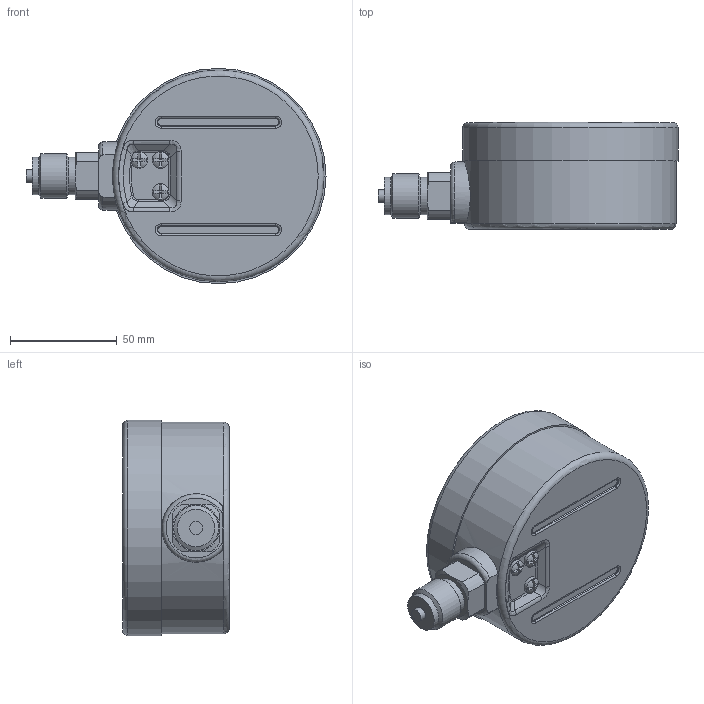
import cadquery as cq
import math


CASE_RADIUS = 99 / 2
BEZEL_RADIUS = 100.8 / 2
TOTAL_DEPTH = 49.99
BEZEL_START = 32.0
BACK_ROUND = 2.8
BEZEL_ROUND = 2.5
BACK_FACE_RADIUS = CASE_RADIUS - BACK_ROUND

OVERALL_LENGTH = 140.4
AXIS_Y = 15.6
BOSS_RADIUS = 16.0
BOSS_END = -56.0
BOSS_ROUND = 2.0
BOSS_FLAT_Y = 3.0
SQUARE_WIDTH = 22.0
SQUARE_FLAT = 14.0
SQUARE_LENGTH = 11.0
SQUARE_BEVEL = 0.7
NECK_LENGTH = 3.1
NECK_RADIUS = 17.5 / 2
THREAD_RADIUS = 20.96 / 2
THREAD_CHAMFER = 1.0
PIN_RADIUS = 6 / 2
PIN_LENGTH = 3.0
COLLAR_LENGTH = 3.0
PIN_END = BEZEL_RADIUS - OVERALL_LENGTH

GROOVE_Z = 25.2
GROOVE_LENGTH = 57.9
GROOVE_WIDTH = 4.5
GROOVE_DEPTH = 1.0
GROOVE_TAPER = 33
GROOVE_RIM_ROUND = 1.15

POCKET_MOUTH_RIGHT = -17.4
POCKET_MOUTH_HALF_HEIGHT = 16.8
POCKET_MOUTH_EDGE_GAP = 0.1
POCKET_MOUTH_RADIUS = BACK_FACE_RADIUS - POCKET_MOUTH_EDGE_GAP
POCKET_DEPTH = 3.5
POCKET_SLOPE = 40
POCKET_CORNER_ROUND = 5.0
POCKET_RIM_ROUND = 3.3
POCKET_FLOOR_ROUND = 1.3

SCREW_PLACES = [(-37.0, 7.5), (-27.0, 7.5), (-27.0, -7.5)]
SCREW_RADIUS = 7.8 / 2
SCREW_HEIGHT = 3.1
SCREW_SIDE = 1.7
RECESS_LENGTH = 6.6
RECESS_WIDTH = 1.25
RECESS_DEPTH = 2.5
RECESS_END_DEPTH = 1.2

OVERLAP = 1.0
EDGE_TOLERANCE = 0.01


def back_plane(y):
    """Plane at depth y whose local axes are X and Z and whose normal is -Y."""
    return cq.Workplane("XZ", origin=(0, y, 0))


def rod(x_start, x_end, radius):
    """Cylinder on the connector axis from x_start towards +X."""
    plane = cq.Workplane("YZ", origin=(x_start, AXIS_Y, 0))
    return plane.circle(radius).extrude(x_end - x_start)


def make_case():
    case = back_plane(BEZEL_START).circle(CASE_RADIUS).extrude(BEZEL_START)
    case = case.faces("<Y").edges().fillet(BACK_ROUND)
    bezel = back_plane(TOTAL_DEPTH).circle(BEZEL_RADIUS).extrude(TOTAL_DEPTH - BEZEL_START)
    bezel = bezel.faces(">Y").edges().fillet(BEZEL_ROUND)
    return case.union(bezel)


def make_boss():
    """Round boss running into the case, cut flat towards the back."""
    boss = rod(BOSS_END, 0, BOSS_RADIUS).faces("<X").edges().fillet(BOSS_ROUND)
    keep = back_plane(AXIS_Y + BOSS_RADIUS).rect(-2 * BOSS_END, 2 * BOSS_RADIUS)
    return boss.intersect(keep.extrude(AXIS_Y + BOSS_RADIUS - BOSS_FLAT_Y))


def turned(profile):
    """Body turned about the connector axis from (x, radius) profile points."""
    (first_x, _), (last_x, _) = profile[0], profile[-1]
    outline = cq.Workplane("XY", origin=(0, AXIS_Y, 0)).polyline([(first_x, 0), *profile, (last_x, 0)])
    return outline.close().revolve(360, (0, 0, 0), (1, 0, 0))


def make_square():
    """Wrench square with turned corners and a conical bevel at its outer end."""
    start = BOSS_END - SQUARE_LENGTH
    end = BOSS_END + OVERLAP
    square = cq.Workplane("YZ", origin=(start, AXIS_Y, 0)).rect(SQUARE_WIDTH, SQUARE_WIDTH)
    corner_radius = math.hypot(SQUARE_WIDTH, SQUARE_FLAT) / 2
    envelope = turned(
        [
            (start, SQUARE_WIDTH / 2),
            (start + SQUARE_BEVEL, corner_radius),
            (end, corner_radius),
        ]
    )
    return square.extrude(end - start).intersect(envelope)


def make_thread(x_start, x_end):
    """Plain thread barrel, coned down to the neck radius at both ends."""
    return turned(
        [
            (x_start, NECK_RADIUS),
            (x_start + THREAD_CHAMFER, THREAD_RADIUS),
            (x_end - THREAD_CHAMFER, THREAD_RADIUS),
            (x_end, NECK_RADIUS),
        ]
    )


def make_connector():
    square_end = BOSS_END - SQUARE_LENGTH
    thread_start = PIN_END + PIN_LENGTH + COLLAR_LENGTH
    connector = make_boss().union(make_square())
    connector = connector.union(rod(PIN_END + PIN_LENGTH, square_end + OVERLAP, NECK_RADIUS))
    connector = connector.union(make_thread(thread_start, square_end - NECK_LENGTH))
    return connector.union(rod(PIN_END, thread_start, PIN_RADIUS))


def round_rim(body, x_range, z_range, radius):
    """Round the edges of the back face that lie inside the given X and Z ranges."""
    low = (x_range[0], -EDGE_TOLERANCE, z_range[0])
    high = (x_range[1], EDGE_TOLERANCE, z_range[1])
    return body.edges(cq.selectors.BoxSelector(low, high, boundingbox=True)).fillet(radius)


def cut_groove(body, z):
    groove = back_plane(0).center(0, z).slot2D(GROOVE_LENGTH, GROOVE_WIDTH)
    body = body.cut(groove.extrude(-GROOVE_DEPTH, taper=GROOVE_TAPER))
    x_range = (-GROOVE_LENGTH, GROOVE_LENGTH)
    z_range = (z - GROOVE_WIDTH, z + GROOVE_WIDTH)
    return round_rim(body, x_range, z_range, GROOVE_RIM_ROUND)


def make_pocket():
    """Sloped pocket: a tapered block trimmed on its left by a cone around the case axis."""
    slope = math.radians(POCKET_SLOPE)
    taper = 90 - POCKET_SLOPE
    wall_inset = POCKET_RIM_ROUND * math.tan(slope / 2)
    right = POCKET_MOUTH_RIGHT - wall_inset
    width = 2 * (POCKET_MOUTH_HALF_HEIGHT - wall_inset)
    block = back_plane(0).center(right - CASE_RADIUS, 0).rect(2 * CASE_RADIUS, width)
    block = block.extrude(-POCKET_DEPTH, taper=taper)
    cone = back_plane(0).circle(POCKET_MOUTH_RADIUS - wall_inset).extrude(-POCKET_DEPTH, taper=taper)
    pocket = block.intersect(cone)
    walls = pocket.edges().filter(lambda edge: edge.BoundingBox().ylen > POCKET_DEPTH / 2)
    pocket = pocket.newObject(walls.vals()).fillet(POCKET_CORNER_ROUND)
    return pocket.faces(">Y").edges().fillet(POCKET_FLOOR_ROUND)


def cut_pocket(body):
    body = body.cut(make_pocket())
    x_range = (-POCKET_MOUTH_RADIUS, POCKET_MOUTH_RIGHT)
    z_range = (-POCKET_MOUTH_HALF_HEIGHT, POCKET_MOUTH_HALF_HEIGHT)
    return round_rim(body, x_range, z_range, POCKET_RIM_ROUND)


def make_screw():
    """Domed cross-recess screw head standing on Y = 0 and pointing to -Y."""
    top = -SCREW_HEIGHT
    dome_height = SCREW_HEIGHT - SCREW_SIDE
    dome_radius = (SCREW_RADIUS**2 + dome_height**2) / (2 * dome_height)
    head = (
        cq.Workplane("XY")
        .moveTo(0, OVERLAP)
        .lineTo(SCREW_RADIUS, OVERLAP)
        .lineTo(SCREW_RADIUS, -SCREW_SIDE)
        .radiusArc((0, top), dome_radius)
        .close()
        .revolve(360, (0, 0, 0), (0, 1, 0))
    )
    half_length = RECESS_LENGTH / 2
    arm = (
        cq.Workplane("XY", origin=(0, 0, -RECESS_WIDTH / 2))
        .moveTo(-half_length, top)
        .lineTo(half_length, top)
        .lineTo(half_length, top + RECESS_END_DEPTH)
        .lineTo(0, top + RECESS_DEPTH)
        .lineTo(-half_length, top + RECESS_END_DEPTH)
        .close()
        .extrude(RECESS_WIDTH)
    )
    return head.cut(arm).cut(arm.rotate((0, 0, 0), (0, 1, 0), 90))


result = make_case().union(make_connector())
result = cut_pocket(result)
for groove_z in (GROOVE_Z, -GROOVE_Z):
    result = cut_groove(result, groove_z)
for screw_x, screw_z in SCREW_PLACES:
    result = result.union(make_screw().translate((screw_x, POCKET_DEPTH, screw_z)))